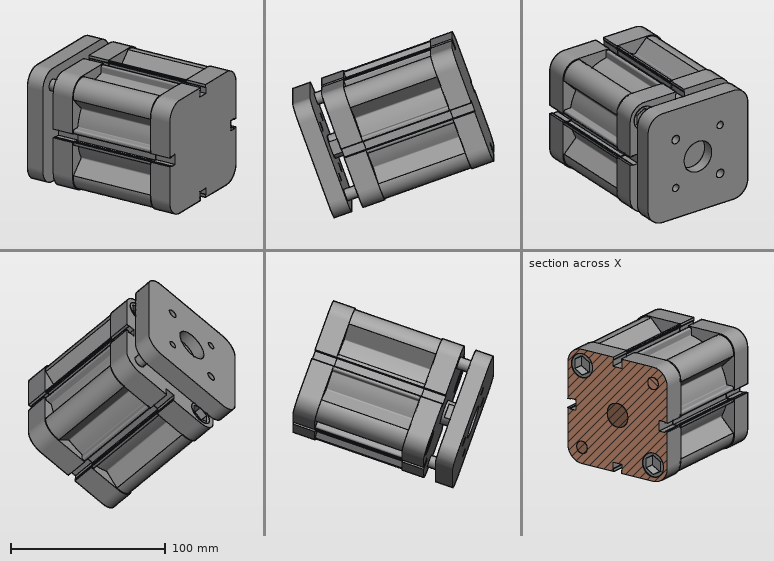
import cadquery as cq
import math


plate_thickness = 12.0
plate_gap = 8.0
cover_thickness = 15.0
tube_length = 60.0
front_cover_x = plate_thickness + plate_gap
tube_x = front_cover_x + cover_thickness
rear_cover_x = tube_x + tube_length

outer_width = 79.5
corner_radius = 11.5

corner_offset = 80.0 / 2 / math.sqrt(2)
guide_diameter = 8.0
guide_corners = [(-corner_offset, corner_offset), (corner_offset, -corner_offset)]
screw_corners = [(corner_offset, corner_offset), (-corner_offset, -corner_offset)]

screw_head_diameter = 16.4
screw_head_recess = 0.3
socket_across_flats = 11.5
socket_depth = 7.0

plate_bore_diameter = 22.0
plate_bore_depth = 8.0
hole_offset = 50.0 / 2 / math.sqrt(2)
wide_hole_diameter = 6.0
narrow_hole_diameter = 5.0

rod_diameter = 16.0
rod_chamfer = 0.5
wrench_width = 13.0
wrench_length = 6.2

barrel_radius = 34.2
lobe_radius = 10.7
lobe_width = 17.2
lobe_root_fillet = 1.0
ridge_width = 11.2
ridge_height = corner_offset + lobe_radius
ridge_edge_radius = 1.3
ridge_root_fillet = 0.6

cover_slot_width = 6.1
cover_channel_width = 7.0
cover_channel_top = 37.7
cover_channel_floor = 33.4
tube_slot_width = 5.4
tube_slot_chamfer = 0.5
tube_channel_width = 8.2
tube_channel_top = 37.7
tube_channel_floor = 33.1

quarter_turns = [0, 90, 180, 270]


def section(x):
    """Workplane across the axis at x, with local x along Y and local y along Z."""
    return cq.Workplane("YZ", origin=(x, 0, 0))


def rounded_square(x, width, length, radius):
    return section(x).rect(width, width).extrude(length).edges("|X").fillet(radius)


def turned(shape, angle):
    return shape.rotate((0, 0, 0), (1, 0, 0), angle)


def cut_sensor_slots(body, x, length, mouth_width, channel_width, channel_top, channel_floor):
    """Cut a T-slot, a narrow mouth above a wider channel, into all four sides."""
    outer_face = outer_width / 2
    mouth = section(x).center(0, (channel_floor + outer_face) / 2)
    mouth = mouth.rect(mouth_width, outer_face - channel_floor).extrude(length)
    channel = section(x).center(0, (channel_floor + channel_top) / 2)
    channel = channel.rect(channel_width, channel_top - channel_floor).extrude(length)
    slot = mouth.union(channel)
    for angle in quarter_turns:
        body = body.cut(turned(slot, angle))
    return body


def make_cover(x):
    cover = rounded_square(x, outer_width, cover_thickness, corner_radius)
    return cut_sensor_slots(cover, x, cover_thickness, cover_slot_width,
                            cover_channel_width, cover_channel_top, cover_channel_floor)


def make_lobe():
    """Straight-sided web from the axis to the +Z side, ending in a round nose."""
    nose_distance = corner_offset * math.sqrt(2)
    web_length = nose_distance + lobe_radius
    web = section(tube_x).center(0, web_length / 2).rect(lobe_width, web_length).extrude(tube_length)
    inner = section(tube_x).center(0, nose_distance / 2).rect(lobe_width, nose_distance)
    nose = section(tube_x).center(0, nose_distance).circle(lobe_radius).extrude(tube_length)
    return inner.extrude(tube_length).union(nose.intersect(web))


def make_tube():
    """Round barrel with a lobe at each corner and a slotted ridge on each side."""
    tube = section(tube_x).circle(barrel_radius).extrude(tube_length)
    lobe = make_lobe()
    for angle in quarter_turns:
        tube = tube.union(turned(lobe, angle + 45))
    lobe_root = root_angle(lobe_width / 2, 45)
    tube = fillet_roots(tube, lobe_root, lobe_root_fillet)

    ridge = section(tube_x).center(0, ridge_height / 2).rect(ridge_width, ridge_height)
    ridge = ridge.extrude(tube_length).edges("|X and >Z").fillet(ridge_edge_radius)
    for angle in quarter_turns:
        tube = tube.union(turned(ridge, angle))
    ridge_root = root_angle(ridge_width / 2, 0)
    tube = fillet_roots(tube, ridge_root, ridge_root_fillet)
    tube = cut_sensor_slots(tube, tube_x, tube_length, tube_slot_width,
                            tube_channel_width, tube_channel_top, tube_channel_floor)
    return chamfer_slot_mouths(tube)


def chamfer_slot_mouths(tube):
    """Bevel both lips of each sensor slot where it opens on its ridge."""
    inner = tube_slot_width / 2
    outer = inner + tube_slot_chamfer
    bevel_bottom = ridge_height - tube_slot_chamfer
    flare = section(tube_x).polyline([
        (-inner, bevel_bottom),
        (inner, bevel_bottom),
        (outer, ridge_height),
        (-outer, ridge_height),
    ]).close().extrude(tube_length)
    for angle in quarter_turns:
        tube = tube.cut(turned(flare, angle))
    return tube


def root_angle(half_width, direction):
    """Angle from +Z at which one side of a web pointing in that direction leaves the barrel."""
    return math.radians(direction) - math.asin(half_width / barrel_radius)


def fillet_roots(tube, offset_angle, radius):
    """Round the eight inner corners where the barrel meets the lobes or the ridges."""
    selector = None
    reach = radius / 4
    for angle in quarter_turns:
        for side in (-1, 1):
            polar = math.radians(angle) + side * offset_angle
            y = barrel_radius * math.sin(polar)
            z = barrel_radius * math.cos(polar)
            box = cq.selectors.BoxSelector(
                (tube_x, y - reach, z - reach), (rear_cover_x, y + reach, z + reach))
            selector = box if selector is None else selector + box
    return tube.edges(selector).edges("|X").fillet(radius)


def cut_screw_recesses(body):
    socket_diameter = socket_across_flats / math.cos(math.pi / 6)
    heads = section(front_cover_x).pushPoints(screw_corners).circle(screw_head_diameter / 2)
    body = body.cut(heads.extrude(screw_head_recess))
    socket_total_depth = screw_head_recess + socket_depth
    for y, z in screw_corners:
        socket = section(front_cover_x).center(y, z).transformed(rotate=(0, 0, 90))
        body = body.cut(socket.polygon(6, socket_diameter).extrude(socket_total_depth))
    return body


def make_housing():
    """Front cover, tube and rear cover as one solid, bored for the rods."""
    housing = make_cover(front_cover_x).union(make_tube()).union(make_cover(rear_cover_x))
    housing = cut_screw_recesses(housing)
    rod_bore = section(front_cover_x).circle(rod_diameter / 2).extrude(cover_thickness)
    guide_bores = section(front_cover_x).pushPoints(guide_corners).circle(guide_diameter / 2)
    return housing.cut(rod_bore).cut(guide_bores.extrude(cover_thickness))


def make_plate():
    plate = rounded_square(0, outer_width, plate_thickness, corner_radius)
    plate = plate.cut(section(0).circle(plate_bore_diameter / 2).extrude(plate_bore_depth))
    for side in (-1, 1):
        offset = side * hole_offset
        wide = section(0).center(offset, offset).circle(wide_hole_diameter / 2)
        narrow = section(0).center(offset, -offset).circle(narrow_hole_diameter / 2)
        plate = plate.cut(wide.extrude(plate_thickness)).cut(narrow.extrude(plate_thickness))
    return plate


def make_piston_rod():
    """Rod from the back of the plate into the front cover, with two wrench flats."""
    rod = section(plate_thickness).circle(rod_diameter / 2).extrude(tube_x - plate_thickness)
    rod = rod.faces("<X").chamfer(rod_chamfer)
    beside_flats = section(plate_thickness).rect(rod_diameter, rod_diameter).rect(rod_diameter, wrench_width)
    return rod.cut(beside_flats.extrude(wrench_length))


def make_guide_rod(y, z):
    rod = section(plate_thickness).center(y, z).circle(guide_diameter / 2)
    return rod.extrude(tube_x - plate_thickness)


housing = make_housing()
plate = make_plate()
piston_rod = make_piston_rod()
guide_rods = [make_guide_rod(y, z) for y, z in guide_corners]

result = cq.Compound.makeCompound([
    housing.val(),
    plate.val(),
    piston_rod.val(),
    *[rod.val() for rod in guide_rods],
])